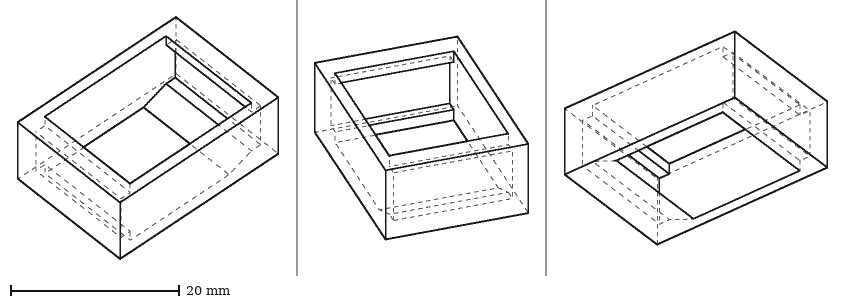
import cadquery as cq

width = 18.0
length = 25.6
height = 9.7
wall = 1.5
lip_reach = 3.0
ramp_reach = 6.63

end_y = length / 2
inner_end_y = end_y - wall
lip_y = end_y - lip_reach
ramp_foot_y = end_y - ramp_reach
cavity_top = height - wall
cavity_width = width - 2 * wall


def make_cavity():
    """Opening through the frame, undercut behind the lips, ramped at the lower +Y lip."""
    profile = [
        (-lip_y, 0),
        (-lip_y, wall),
        (-inner_end_y, wall),
        (-inner_end_y, cavity_top),
        (-lip_y, cavity_top),
        (-lip_y, height),
        (lip_y, height),
        (lip_y, cavity_top),
        (inner_end_y, cavity_top),
        (inner_end_y, wall),
        (lip_y, wall),
        (ramp_foot_y, 0),
    ]
    return cq.Workplane("YZ").polyline(profile).close().extrude(cavity_width / 2, both=True)


block = cq.Workplane("XY").box(width, length, height, centered=(True, True, False))
result = block.cut(make_cavity())